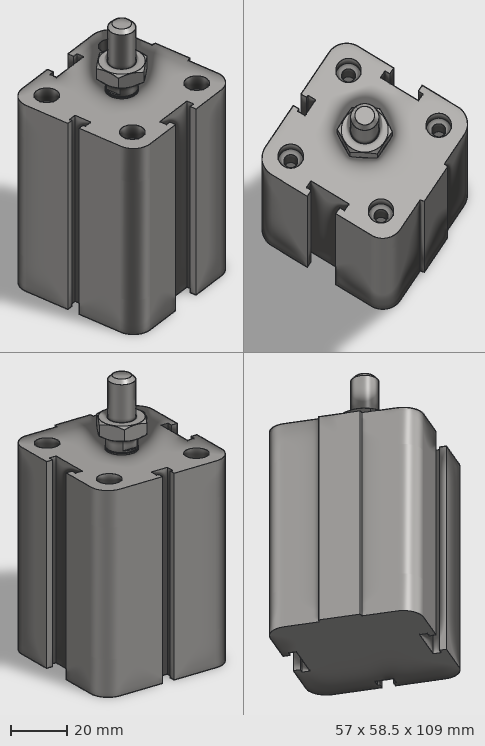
import cadquery as cq
import math

BODY_WIDTH = 57.0
BODY_HEIGHT = 80.5
CAP_HEIGHT = 14.6
CORNER_RADIUS = 7.5

RIB_HEIGHT = 1.5
RIB_BASE_WIDTH = 16.0
RIB_TOP_WIDTH = 15.4

SLOT_DEPTH = 5.6
SIDE_SLOT = (12.0, 16.0, 2.6, SLOT_DEPTH)
FRONT_SLOT = (5.0, 7.0, 2.4, SLOT_DEPTH)

BOLT_SPACING = 38.0
BOLT_COUNTERBORE_DIAMETER = 9.0
BOLT_COUNTERBORE_DEPTH = 5.7
BOLT_HOLE_DIAMETER = 4.9
BOLT_HOLE_DEPTH = CAP_HEIGHT

ROD_BOTTOM = BODY_HEIGHT - CAP_HEIGHT
ROD_TOP = 109.0
ROD_DIAMETER = 12.0
ROD_SHOULDER_EXPOSED = 0.5
ROD_SHOULDER_BOTTOM = BODY_HEIGHT + ROD_SHOULDER_EXPOSED
ROD_SHOULDER_HEIGHT = 0.3
ROD_NECK_DIAMETER = 11.7
ROD_NECK_CHAMFER = 0.3
ROD_THREAD_DIAMETER = 10.0
ROD_TIP_CHAMFER = 1.5
FLATS_WIDTH = 10.0
FLATS_RISE = 1.5
FLATS_BOTTOM = BODY_HEIGHT + FLATS_RISE

NUT_SIDES = 6
NUT_ACROSS_FLATS = 17.0
NUT_THICKNESS = 6.0
NUT_BOTTOM = 86.9
NUT_FACE_DIAMETER = 16.7
NUT_CHAMFER_ANGLE = 30.0
NUT_COUNTERSINK = 0.2


def t_slot(sizes, turn):
    """Full-height T-slot cutter for the -Y side, turned about Z."""
    mouth_width, inner_width, lip, depth = sizes
    face = -BODY_WIDTH / 2
    mouth = cq.Workplane("XY").rect(mouth_width, 2 * lip).extrude(BODY_HEIGHT).translate((0, face, 0))
    inner = (
        cq.Workplane("XY")
        .rect(inner_width, depth - lip)
        .extrude(BODY_HEIGHT)
        .translate((0, face + (lip + depth) / 2, 0))
    )
    return mouth.union(inner).rotate((0, 0, 0), (0, 0, 1), turn)


def body_section(bottom, height):
    """Rounded square with a tapered rib on the +Y side and T-slots on the other three."""
    half = BODY_WIDTH / 2
    section = (
        cq.Workplane("XY", origin=(0, 0, bottom))
        .rect(BODY_WIDTH, BODY_WIDTH)
        .extrude(height)
        .edges("|Z")
        .fillet(CORNER_RADIUS)
    )
    rib = (
        cq.Workplane("XY", origin=(0, 0, bottom))
        .moveTo(-RIB_BASE_WIDTH / 2, half)
        .lineTo(-RIB_TOP_WIDTH / 2, half + RIB_HEIGHT)
        .lineTo(RIB_TOP_WIDTH / 2, half + RIB_HEIGHT)
        .lineTo(RIB_BASE_WIDTH / 2, half)
        .lineTo(RIB_BASE_WIDTH / 2, 0)
        .lineTo(-RIB_BASE_WIDTH / 2, 0)
        .close()
        .extrude(height)
    )
    section = section.union(rib)
    for sizes, turn in ((FRONT_SLOT, 0), (SIDE_SLOT, 90), (SIDE_SLOT, -90)):
        section = section.cut(t_slot(sizes, turn))
    return section


def make_housing():
    tube_height = BODY_HEIGHT - 2 * CAP_HEIGHT
    housing = body_section(0, CAP_HEIGHT)
    housing = housing.union(body_section(CAP_HEIGHT, tube_height), clean=False)
    housing = housing.union(body_section(CAP_HEIGHT + tube_height, CAP_HEIGHT), clean=False)

    bolt_places = (
        cq.Workplane("XY", origin=(0, 0, BODY_HEIGHT))
        .rect(BOLT_SPACING, BOLT_SPACING, forConstruction=True)
        .vertices()
    )
    counterbores = bolt_places.circle(BOLT_COUNTERBORE_DIAMETER / 2).extrude(-BOLT_COUNTERBORE_DEPTH)
    bolt_holes = bolt_places.circle(BOLT_HOLE_DIAMETER / 2).extrude(-BOLT_HOLE_DEPTH)
    rod_bore = (
        cq.Workplane("XY", origin=(0, 0, ROD_BOTTOM))
        .circle(ROD_DIAMETER / 2)
        .extrude(BODY_HEIGHT - ROD_BOTTOM)
    )
    for cutter in (counterbores, bolt_holes, rod_bore):
        housing = housing.cut(cutter, clean=False)
    return housing


def make_rod():
    rod_radius = ROD_DIAMETER / 2
    neck_radius = ROD_NECK_DIAMETER / 2
    thread_radius = ROD_THREAD_DIAMETER / 2
    profile = [
        (0, ROD_BOTTOM),
        (rod_radius, ROD_BOTTOM),
        (rod_radius, ROD_SHOULDER_BOTTOM),
        (neck_radius, ROD_SHOULDER_BOTTOM + ROD_SHOULDER_HEIGHT),
        (neck_radius, NUT_BOTTOM - ROD_NECK_CHAMFER),
        (neck_radius - ROD_NECK_CHAMFER, NUT_BOTTOM),
        (thread_radius, NUT_BOTTOM),
        (thread_radius, ROD_TOP - ROD_TIP_CHAMFER),
        (thread_radius - ROD_TIP_CHAMFER, ROD_TOP),
        (0, ROD_TOP),
    ]
    rod = cq.Workplane("XZ").polyline(profile).close().revolve(360, (0, 0, 0), (0, 1, 0))

    outside_flats = (
        cq.Workplane("XY", origin=(0, 0, FLATS_BOTTOM))
        .rect(2 * ROD_DIAMETER, 2 * ROD_DIAMETER)
        .rect(2 * ROD_DIAMETER, FLATS_WIDTH)
        .extrude(NUT_BOTTOM - FLATS_BOTTOM)
    )
    return rod.cut(outside_flats)


def make_nut():
    across_corners = NUT_ACROSS_FLATS / math.cos(math.pi / NUT_SIDES)
    hexagon = cq.Workplane("XY", origin=(0, 0, NUT_BOTTOM)).polygon(NUT_SIDES, across_corners).extrude(NUT_THICKNESS)
    face_radius = NUT_FACE_DIAMETER / 2
    corner_radius = across_corners / 2
    bevel = (corner_radius - face_radius) * math.tan(math.radians(NUT_CHAMFER_ANGLE))
    nut_top = NUT_BOTTOM + NUT_THICKNESS
    envelope = (
        cq.Workplane("XZ")
        .moveTo(0, NUT_BOTTOM)
        .lineTo(face_radius, NUT_BOTTOM)
        .lineTo(corner_radius, NUT_BOTTOM + bevel)
        .lineTo(corner_radius, nut_top - bevel)
        .lineTo(face_radius, nut_top)
        .lineTo(0, nut_top)
        .close()
        .revolve(360, (0, 0, 0), (0, 1, 0))
    )
    nut = hexagon.intersect(envelope)

    bore_radius = ROD_THREAD_DIAMETER / 2
    nut = nut.cut(cq.Workplane("XY", origin=(0, 0, NUT_BOTTOM)).circle(bore_radius).extrude(NUT_THICKNESS))
    bore_edges = cq.selectors.RadiusNthSelector(0)
    return nut.faces("<Z or >Z").edges("%CIRCLE").edges(bore_edges).chamfer(NUT_COUNTERSINK)


housing = make_housing()
rod = make_rod()
nut = make_nut()
result = cq.Compound.makeCompound([housing.val(), rod.val(), nut.val()])